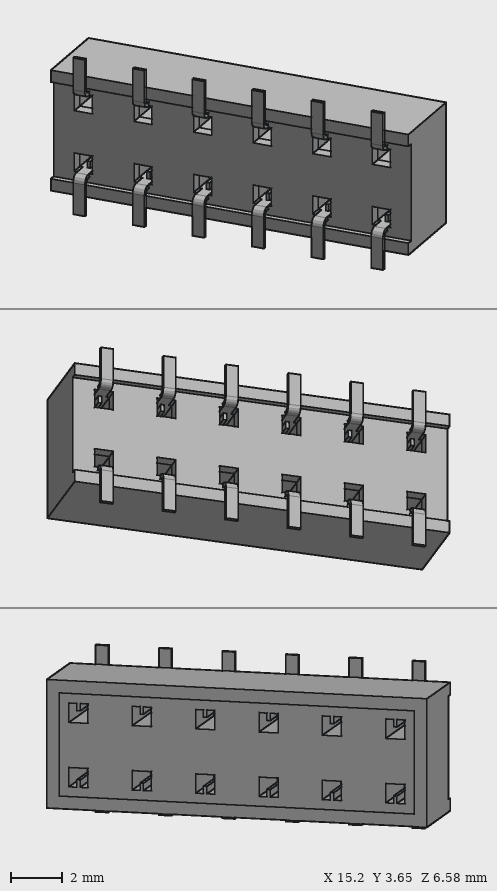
import cadquery as cq

length = 15.24
housing_height = 5.07
housing_depth = 3.5
lip_height = 0.5
recess_depth = 0.26
recess_height = housing_height - 2 * lip_height

columns = 6
pitch = length / columns
row_offset = pitch / 2
socket_size = 0.76
column_places = [(i - (columns - 1) / 2) * pitch for i in range(columns)]

front_wall = 0.5
side_wall = lip_height
insert_front = recess_depth + front_wall
insert_depth = housing_depth - insert_front
insert_length = length - 2 * side_wall
insert_height = housing_height - 2 * side_wall

total_height = 6.58
strip_width = 0.5
strip_thickness = 0.15
bend_radius = 0.3
inner_bend_radius = bend_radius - strip_thickness
strip_level = row_offset + socket_size / 2
foot_end = total_height / 2

rib_width = 0.14
rib_height = 0.29


def box(x_size, y_size, z_size, y_start, x=0, z=0):
    """Box centred on x and z that runs toward +Y from y_start."""
    return cq.Workplane("XY").box(x_size, y_size, z_size).translate((x, y_start + y_size / 2, z))


def cut_sockets(body):
    """Cut both rows of square sockets through the full depth."""
    for x in column_places:
        for side in (1, -1):
            body = body.cut(box(socket_size, housing_depth, socket_size, 0, x, side * row_offset))
    return body


def contact_strip(x, side):
    """Bent strip of one contact; side is +1 for the upper row and -1 for the lower row."""
    outer_face = -strip_thickness
    bend_start = outer_face + bend_radius
    bend_level = strip_level + bend_radius
    profile = (
        cq.Workplane("YZ")
        .moveTo(insert_front, strip_level)
        .lineTo(bend_start, strip_level)
        .radiusArc((outer_face, bend_level), bend_radius)
        .lineTo(outer_face, foot_end)
        .lineTo(0, foot_end)
        .lineTo(0, bend_level)
        .radiusArc((bend_start, strip_level + strip_thickness), -inner_bend_radius)
        .lineTo(insert_front, strip_level + strip_thickness)
        .close()
    )
    strip = profile.extrude(strip_width / 2, both=True)
    if side < 0:
        strip = strip.mirror("XY")
    return strip.translate((x, 0, 0))


def contact_rib(x, side):
    """Ridge on the outer wall of one socket, as long as the insert."""
    z = side * (strip_level - rib_height / 2)
    return box(rib_width, insert_depth, rib_height, insert_front, x, z)


def make_housing():
    housing = box(length, housing_depth, housing_height, 0)
    housing = housing.cut(box(length, recess_depth, recess_height, 0))
    housing = housing.cut(box(insert_length, insert_depth, insert_height, insert_front))
    housing = cut_sockets(housing)
    for x in column_places:
        for side in (1, -1):
            housing = housing.cut(contact_strip(x, side))
    return housing


def make_contact_insert():
    insert = cut_sockets(box(insert_length, insert_depth, insert_height, insert_front))
    for x in column_places:
        for side in (1, -1):
            insert = insert.union(contact_strip(x, side))
            insert = insert.union(contact_rib(x, side))
    return insert


housing = make_housing()
contact_insert = make_contact_insert()

result = cq.Compound.makeCompound([housing.val(), contact_insert.val()])